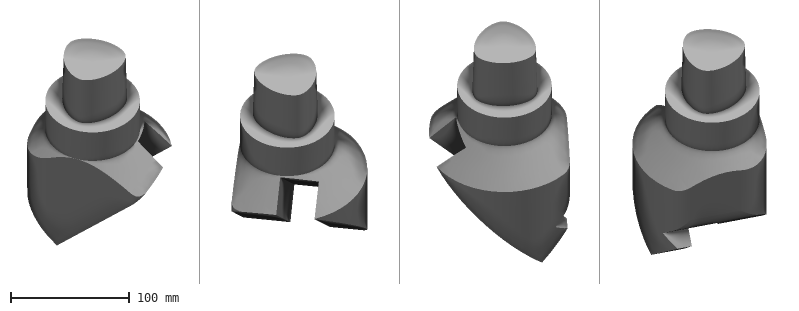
import cadquery as cq
import math

collar_diameter = 80.0
collar_radius = collar_diameter / 2
collar_height = 32.5

shank_height = 47.9
shank_base_radius = 27.4
shank_top_radius = 26.2
lobe_height = 2.0
outline_points = 48

body_radius = 67.5
left_x = -53.2
front_y = -collar_radius
front_left_radius = 29.9
back_left_radius = 20.0
front_right_radius = 9.0

shoulder_tip_x = 63.5
seat_edge_x = -17.2
heel_radius = 20.0

slot_width = 32.0
slot_depth = 32.0
block_length = 15.2

shoulder_tip_z = collar_radius - shoulder_tip_x
seat_edge_z = shoulder_tip_z - (shoulder_tip_x - seat_edge_x)
diagonal = math.sqrt(0.5)
reach = 2 * body_radius


def lobed_outline(mean_radius):
    """Points of a constant-width three-lobed curve with one lobe towards -Y."""
    points = []
    for i in range(outline_points):
        turn = 2 * math.pi * i / outline_points
        along = mean_radius * math.cos(turn) + lobe_height * (2 * math.cos(2 * turn) - math.cos(4 * turn))
        across = mean_radius * math.sin(turn) - lobe_height * (2 * math.sin(2 * turn) + math.sin(4 * turn))
        points.append((across, -along))
    return points


def make_shank():
    return (
        cq.Workplane("XY", origin=(0, 0, collar_height))
        .spline(lobed_outline(shank_base_radius), periodic=True).close()
        .workplane(offset=shank_height)
        .spline(lobed_outline(shank_top_radius), periodic=True).close()
        .loft(combine=True)
    )


def point_on_circle(center_x, center_y, radius, angle):
    return (center_x + radius * math.cos(angle), center_y + radius * math.sin(angle))


def make_plan_prism():
    """Upright prism with the plan outline of the body, long enough to be trimmed."""
    back_x = left_x + back_left_radius
    back_y = math.sqrt((body_radius - back_left_radius)**2 - back_x**2)
    back_angle = math.atan2(back_y, back_x)
    back_middle_angle = (math.pi + back_angle) / 2

    right_y = front_y + front_right_radius
    right_x = math.sqrt((body_radius - front_right_radius)**2 - right_y**2)
    right_angle = math.atan2(right_y, right_x)
    right_middle_angle = (right_angle - math.pi / 2) / 2

    front_left_shift = front_left_radius * (1 - diagonal)
    return (
        cq.Workplane("XY", origin=(0, 0, -reach))
        .moveTo(right_x, front_y)
        .threePointArc(
            point_on_circle(right_x, right_y, front_right_radius, right_middle_angle),
            point_on_circle(0, 0, body_radius, right_angle),
        )
        .threePointArc(
            point_on_circle(0, 0, body_radius, (right_angle + back_angle) / 2),
            point_on_circle(0, 0, body_radius, back_angle),
        )
        .threePointArc(
            point_on_circle(back_x, back_y, back_left_radius, back_middle_angle),
            (left_x, back_y),
        )
        .lineTo(left_x, front_y + front_left_radius)
        .threePointArc(
            (left_x + front_left_shift, front_y + front_left_shift),
            (left_x + front_left_radius, front_y),
        )
        .close()
        .extrude(reach)
    )


def make_shoulder_envelope():
    """Solid of revolution under the 45 degree shoulder cone."""
    return (
        cq.Workplane("XZ")
        .polyline([
            (0, 0),
            (collar_radius, 0),
            (collar_radius + reach, -reach),
            (0, -reach),
        ])
        .close()
        .revolve(360, (0, 0, 0), (0, 1, 0))
    )


def make_side_envelope():
    """Side outline with the rounded heel, the heel face and the seat face."""
    heel_x = left_x + heel_radius * (1 - diagonal)
    heel_z = seat_edge_z + seat_edge_x - heel_x
    heel_top_z = heel_z + heel_radius * diagonal
    heel_middle_angle = math.pi / 8
    heel_middle = (
        left_x + heel_radius * (1 - math.cos(heel_middle_angle)),
        heel_top_z - heel_radius * math.sin(heel_middle_angle),
    )
    return (
        cq.Workplane("XZ", origin=(0, reach, 0))
        .moveTo(left_x, 0)
        .lineTo(left_x, heel_top_z)
        .threePointArc(heel_middle, (heel_x, heel_z))
        .lineTo(seat_edge_x, seat_edge_z)
        .lineTo(seat_edge_x - seat_edge_z, 0)
        .close()
        .extrude(2 * reach)
    )


def seat_bar(start, length, y_start, width):
    """Bar of slot depth lying on the seat face, running up it from the seat edge."""
    seat_plane = cq.Plane(
        origin=(seat_edge_x, 0, seat_edge_z),
        xDir=(1, 0, 1),
        normal=(-1, 0, 1),
    )
    return cq.Workplane(seat_plane).box(length, width, slot_depth, centered=False).translate(
        (start * diagonal, y_start, start * diagonal)
    )


def make_block():
    bar = seat_bar(-block_length, block_length, slot_width, reach)
    round_side = cq.Workplane("XY", origin=(0, 0, -reach)).circle(body_radius).extrude(reach)
    return bar.intersect(round_side)


collar = cq.Workplane("XY").circle(collar_radius).extrude(collar_height)
body = make_plan_prism().intersect(make_shoulder_envelope()).intersect(make_side_envelope())
slot = seat_bar(0, 2 * reach, 0, slot_width)

result = body.cut(slot).union(make_block()).union(collar).union(make_shank())